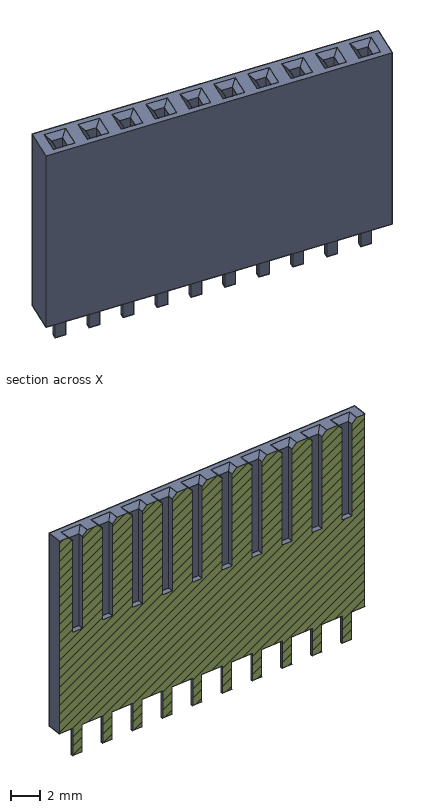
import cadquery as cq


thickness = 2.4
row_length = 25.9
overall_height = 18.42
pin_length = 2.28
housing_height = overall_height - pin_length

contact_count = 10
pitch = 2.55
pin_thickness = 0.4
pin_width = 0.8

socket_width = 0.8
mouth_width = 1.6
funnel_depth = (mouth_width - socket_width) / 2
socket_depth = housing_height / 2

first_contact_y = -pitch * (contact_count - 1) / 2
contact_points = [(0, first_contact_y + i * pitch) for i in range(contact_count)]


def make_housing():
    return cq.Workplane("XY").rect(thickness, row_length).extrude(housing_height)


def make_pins():
    pin_sections = cq.Workplane("XY").pushPoints(contact_points).rect(pin_thickness, pin_width)
    return pin_sections.extrude(-pin_length)


def make_socket_cutter():
    """Square hole and funnel for one contact, centred on the Z axis."""
    top = cq.Workplane("XY").workplane(offset=housing_height)
    hole = top.rect(socket_width, socket_width).extrude(-socket_depth)
    funnel = (
        top.rect(mouth_width, mouth_width)
        .workplane(offset=-funnel_depth)
        .rect(socket_width, socket_width)
        .loft(ruled=True)
    )
    return hole.union(funnel)


result = make_housing().union(make_pins())
socket_cutter = make_socket_cutter()
for x, y in contact_points:
    result = result.cut(socket_cutter.translate((x, y, 0)))